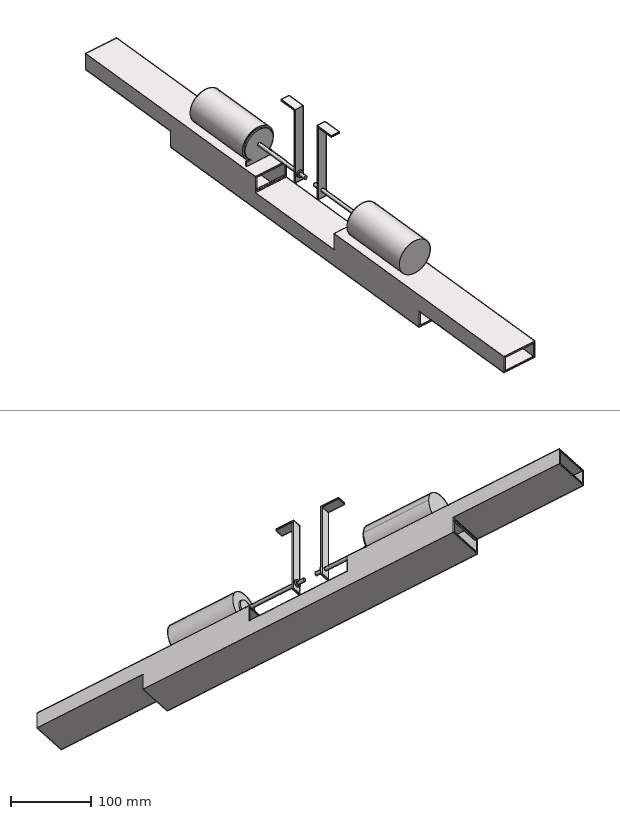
import cadquery as cq

FRAME_LENGTH = 813.0
FRAME_WIDTH = 50.0
TUBE_HEIGHT = 25.0
TUBE_WALL = 2.5
LOWER_TUBE_LENGTH = 483.0
UPPER_TUBE_GAP = 153.0
OPENING_LIP = 2.5
FRAME_TOP = 2 * TUBE_HEIGHT

MOTOR_DIAMETER = 50.0
MOTOR_LENGTH = 102.0
MOTOR_INNER_X = 102.0
AXIS_Z = FRAME_TOP + MOTOR_DIAMETER / 2
BOSS_DIAMETER = 25.0
BOSS_LENGTH = 2.5
SHAFT_DIAMETER = 5.0
SHAFT_TIP_X = 9.0

ARM_WIDTH = 13.0
ARM_THICKNESS = 2.5
ARM_INNER_X = 21.0
ARM_BOTTOM = 63.0
ARM_TOP = 178.0
FOOT_LENGTH = 28.0
COLLAR_DIAMETER = 10.0
COLLAR_LENGTH = 2.5

MOUNT_DISC_DIAMETER = 45.5
MOUNT_FOOT_WIDTH = 41.0
MOUNT_FOOT_HEIGHT = 6.5
MOUNT_THICKNESS = BOSS_LENGTH


def make_box(x_start, x_end, width, z_start, z_end):
    """Box between two X and two Z positions, centred on Y = 0."""
    length = x_end - x_start
    box = cq.Workplane("XY").box(length, width, z_end - z_start, centered=(False, True, False))
    return box.translate((x_start, 0, z_start))


def make_rod(x_start, x_end, diameter):
    """Cylinder along the motor axis."""
    section = cq.Workplane("YZ", origin=(x_start, 0, AXIS_Z)).circle(diameter / 2)
    return section.extrude(x_end - x_start)


def make_tube(x_start, x_end, z_start):
    """Rectangular tube open at both ends."""
    z_end = z_start + TUBE_HEIGHT
    outside = make_box(x_start, x_end, FRAME_WIDTH, z_start, z_end)
    bore_width = FRAME_WIDTH - 2 * TUBE_WALL
    bore = make_box(x_start, x_end, bore_width, z_start + TUBE_WALL, z_end - TUBE_WALL)
    return outside.cut(bore)


def make_frame():
    """Lower tube with an upper tube on each side of the gap, open to each other where they overlap."""
    lower = make_tube(-LOWER_TUBE_LENGTH / 2, LOWER_TUBE_LENGTH / 2, 0)
    upper_right = make_tube(UPPER_TUBE_GAP / 2, FRAME_LENGTH / 2, TUBE_HEIGHT)
    bore_width = FRAME_WIDTH - 2 * TUBE_WALL
    opening_start = UPPER_TUBE_GAP / 2 + OPENING_LIP
    opening_end = LOWER_TUBE_LENGTH / 2 - OPENING_LIP
    opening = make_box(opening_start, opening_end, bore_width, TUBE_WALL, FRAME_TOP - TUBE_WALL)
    frame = lower.union(upper_right).union(upper_right.mirror("YZ"))
    return frame.cut(opening).cut(opening.mirror("YZ"))


def make_arm():
    """Upright strip with its outward foot, on the +X side."""
    arm_outer_x = ARM_INNER_X + ARM_THICKNESS
    upright = make_box(ARM_INNER_X, arm_outer_x, ARM_WIDTH, ARM_BOTTOM, ARM_TOP)
    foot_end = ARM_INNER_X + FOOT_LENGTH
    foot = make_box(ARM_INNER_X, foot_end, ARM_WIDTH, ARM_TOP - ARM_THICKNESS, ARM_TOP)
    return upright.union(foot)


def make_drive():
    """Motor, boss, shaft, collar and arm on the +X side."""
    motor = make_rod(MOTOR_INNER_X, MOTOR_INNER_X + MOTOR_LENGTH, MOTOR_DIAMETER)
    boss = make_rod(MOTOR_INNER_X - BOSS_LENGTH, MOTOR_INNER_X, BOSS_DIAMETER)
    shaft = make_rod(SHAFT_TIP_X, MOTOR_INNER_X, SHAFT_DIAMETER)
    collar = make_rod(ARM_INNER_X - COLLAR_LENGTH, ARM_INNER_X, COLLAR_DIAMETER)
    return motor.union(boss).union(shaft).union(collar).union(make_arm())


def make_mount():
    """Disc against the left motor face, with the low foot below it on the frame."""
    x_start = -MOTOR_INNER_X
    x_end = x_start + MOUNT_THICKNESS
    foot = make_box(x_start, x_end, MOUNT_FOOT_WIDTH, FRAME_TOP, FRAME_TOP + MOUNT_FOOT_HEIGHT)
    return foot.union(make_rod(x_start, x_end, MOUNT_DISC_DIAMETER))


right_drive = make_drive()
left_drive = right_drive.mirror("YZ")
frame_assembly = make_frame().union(make_mount()).union(left_drive)

result = cq.Compound.makeCompound([frame_assembly.solids().val(), right_drive.solids().val()])